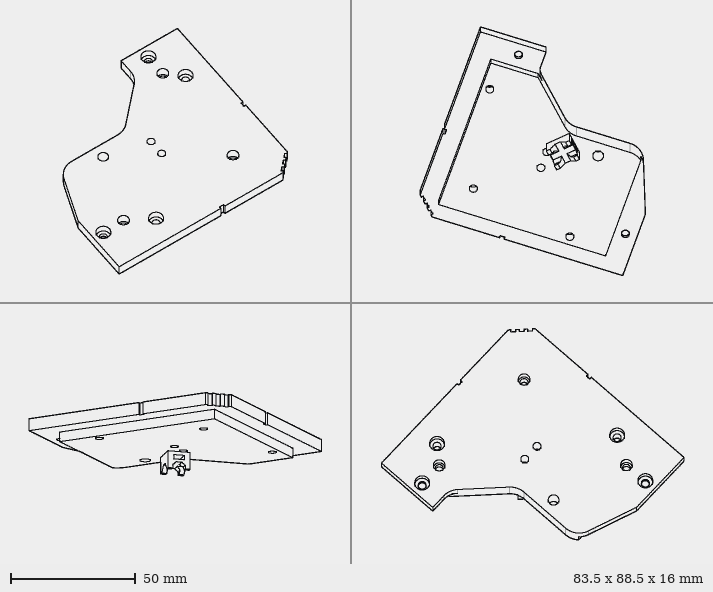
import cadquery as cq
import math

length_x = 83.45
length_y = 88.45
post_height = 7.0
lower_thickness = 4.0
upper_thickness = 5.0
lower_z = post_height
upper_z = lower_z + lower_thickness
top_z = upper_z + upper_thickness

arm_x = 10.0
arm_y = 60.6
wall_x = 29.4
diagonal_end_y = arm_y - (wall_x - arm_x)
slant_start_x = 55.1
slant_angle = 20.5
slant_top_y = (slant_start_x - wall_x) * math.tan(math.radians(slant_angle))
corner_chamfer = 7.6
wall_corners = [(wall_x, diagonal_end_y), (wall_x, slant_top_y)]
wall_radius = 8.0

lower_margin = 7.75
lower_front_y = 9.9

notch_width = 1.9
notch_depth = 0.9
edge_notch_offset = 37.2
corner_notch_pitch = 3.4

screw_diameter = 3.2
screw_head_diameter = 6.0
screw_head_depth = 3.2
insert_diameter = 4.7
insert_depth = 4.0
pilot_depth = 7.0
large_hole_diameter = 4.3
screw_points = [(21.1, 77.4), (4.8, 70.7), (72.3, 26.2), (65.7, 4.9)]
pilot_points = [(14.9, 70.6), (65.5, 15.0)]
through_insert_point = (64.6, 69.7)
plain_points = [(39.9, 46.9), (47.25, 46.9)]
large_hole_point = (34.95, 26.8)

post_center = (36.2, 41.3)
post_turn = 45.0
post_width = 9.3
post_depth = 10.3
arch_height = 2.7
arch_flat = 2.4
narrow_arch_width = 5.2
narrow_arch_side = 1.4
wide_arch_width = 7.0
window_width = 4.4
window_height = 1.8
window_z = 3.8
window_chamfer = 0.4


def round_corners(plate, points):
    """Fillet the upright edges that stand on the given corner points."""
    for x, y in points:
        corner = cq.selectors.NearestToPointSelector((x, y, plate.val().Center().z))
        plate = plate.edges("|Z").edges(corner).fillet(wall_radius)
    return plate


def upper_plate():
    plate = (
        cq.Workplane("XY", origin=(0, 0, upper_z))
        .moveTo(0, arm_y)
        .lineTo(arm_x, arm_y)
        .lineTo(wall_x, diagonal_end_y)
        .lineTo(wall_x, slant_top_y)
        .lineTo(slant_start_x, 0)
        .lineTo(length_x, 0)
        .lineTo(length_x, length_y - corner_chamfer)
        .lineTo(length_x - corner_chamfer, length_y)
        .lineTo(0, length_y)
        .close()
        .extrude(upper_thickness)
    )
    return round_corners(plate, [(arm_x, arm_y)] + wall_corners)


def lower_plate():
    """Follows the rounded wall of the upper plate and ends square at the front."""
    right_x = length_x - lower_margin
    back_y = length_y - lower_margin
    plate = (
        cq.Workplane("XY", origin=(0, 0, lower_z))
        .moveTo(arm_x, arm_y)
        .lineTo(wall_x, diagonal_end_y)
        .lineTo(wall_x, slant_top_y)
        .lineTo(slant_start_x, 0)
        .lineTo(right_x, 0)
        .lineTo(right_x, back_y)
        .lineTo(arm_x, back_y)
        .close()
        .extrude(lower_thickness)
    )
    front_strip = (
        cq.Workplane("XY", origin=(0, 0, lower_z))
        .rect(length_x, lower_front_y, centered=False)
        .extrude(lower_thickness)
    )
    return round_corners(plate, wall_corners).cut(front_strip)


def edge_notch(x, y, outward_angle):
    """Square notch through the upper plate, centred on an edge point."""
    return (
        cq.Workplane("XY")
        .rect(2 * notch_depth, notch_width)
        .extrude(upper_thickness)
        .rotate((0, 0, 0), (0, 0, 1), outward_angle)
        .translate((x, y, upper_z))
    )


def notches():
    cutters = edge_notch(length_x - edge_notch_offset, length_y, 90)
    cutters = cutters.union(edge_notch(length_x, length_y - edge_notch_offset, 0))
    middle_x = length_x - corner_chamfer / 2
    middle_y = length_y - corner_chamfer / 2
    for index in (-1, 0, 1):
        shift = index * corner_notch_pitch * math.sqrt(0.5)
        cutters = cutters.union(edge_notch(middle_x + shift, middle_y - shift, 45))
    return cutters


def drill(points, diameter, depth):
    """Round cutters going down from the top face."""
    return (
        cq.Workplane("XY", origin=(0, 0, top_z))
        .pushPoints(points)
        .circle(diameter / 2)
        .extrude(-depth)
    )


def holes():
    stack = upper_thickness + lower_thickness
    through_points = screw_points + plain_points + [through_insert_point]
    cutters = drill(through_points, screw_diameter, stack)
    cutters = cutters.union(drill(screw_points, screw_head_diameter, screw_head_depth))
    cutters = cutters.union(drill(pilot_points, screw_diameter, pilot_depth))
    insert_points = pilot_points + [through_insert_point]
    cutters = cutters.union(drill(insert_points, insert_diameter, insert_depth))
    return cutters.union(drill([large_hole_point], large_hole_diameter, stack))


def arch(bottom_width, side_height, run):
    """Tunnel along Y with a flat roof and sloped shoulders above upright sides."""
    half = bottom_width / 2
    half_flat = arch_flat / 2
    profile = cq.Workplane("XZ", origin=(0, run / 2, 0)).moveTo(-half, 0)
    if side_height > 0:
        profile = profile.lineTo(-half, side_height)
    profile = profile.lineTo(-half_flat, arch_height).lineTo(half_flat, arch_height)
    if side_height > 0:
        profile = profile.lineTo(half, side_height)
    return profile.lineTo(half, 0).close().extrude(run)


def window():
    """Rectangular tunnel along Y, bevelled at its front mouth."""
    tunnel = (
        cq.Workplane("XY", origin=(0, 0, window_z))
        .rect(window_width, post_depth)
        .extrude(window_height)
    )
    mouth = (
        cq.Workplane("XZ", origin=(0, -post_depth / 2, window_z + window_height / 2))
        .rect(window_width + 2 * window_chamfer, window_height + 2 * window_chamfer)
        .workplane(offset=-window_chamfer)
        .rect(window_width, window_height)
        .loft()
    )
    return tunnel.union(mouth)


def post():
    body = cq.Workplane("XY").rect(post_width, post_depth).extrude(post_height)
    narrow_arch = arch(narrow_arch_width, narrow_arch_side, post_depth)
    wide_arch = arch(wide_arch_width, 0, post_width).rotate((0, 0, 0), (0, 0, 1), 90)
    body = body.cut(narrow_arch).cut(wide_arch).cut(window())
    return body.rotate((0, 0, 0), (0, 0, 1), -post_turn).translate((*post_center, 0))


plates = upper_plate().cut(notches()).union(lower_plate())
result = plates.cut(holes()).union(post())